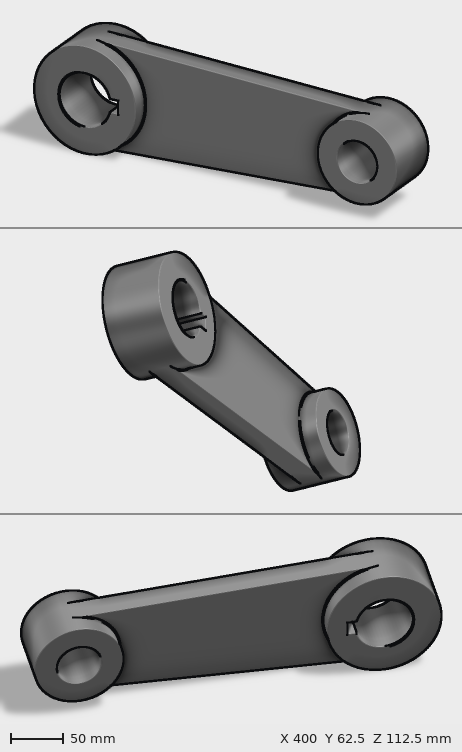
import cadquery as cq
import math

CENTER_DISTANCE = 300.0
LARGE_BOSS_DIAMETER = 112.5
SMALL_BOSS_DIAMETER = 87.5
BOSS_WIDTH = 62.5
WEB_THICKNESS = 25.0
LARGE_BORE_DIAMETER = LARGE_BOSS_DIAMETER / 2
SMALL_BORE_DIAMETER = SMALL_BOSS_DIAMETER / 2
KEYWAY_HEIGHT = 13.75
KEYWAY_REACH = 36.25
EDGE_RADIUS = 1.0

LARGE_RADIUS = LARGE_BOSS_DIAMETER / 2
SMALL_RADIUS = SMALL_BOSS_DIAMETER / 2
HALF_WEB = WEB_THICKNESS / 2


def cylinder_along_y(x, diameter):
    """Full-width cylinder with its axis along Y, centred on Y = 0."""
    return (
        cq.Workplane("XZ", origin=(x, BOSS_WIDTH / 2, 0))
        .circle(diameter / 2)
        .extrude(BOSS_WIDTH)
    )


def tapered_plate(large_radius, small_radius, thickness):
    """Plate centred on Y = 0 with edges tangent to a circle around each bore axis."""
    taper_angle = math.asin((large_radius - small_radius) / CENTER_DISTANCE)
    large_x = large_radius * math.sin(taper_angle)
    large_z = large_radius * math.cos(taper_angle)
    small_x = CENTER_DISTANCE + small_radius * math.sin(taper_angle)
    small_z = small_radius * math.cos(taper_angle)
    return (
        cq.Workplane("XZ", origin=(0, thickness / 2, 0))
        .moveTo(large_x, large_z)
        .lineTo(small_x, small_z)
        .lineTo(small_x, -small_z)
        .lineTo(large_x, -large_z)
        .close()
        .extrude(thickness)
    )


def web():
    """Web tangent to both bosses, with rounded long edges."""
    plate = tapered_plate(LARGE_RADIUS, SMALL_RADIUS, WEB_THICKNESS)
    return plate.edges("not(|Y or |Z)").fillet(EDGE_RADIUS)


def fillet_ring(x, boss_radius, side):
    """Concave ring around a boss on one web face; side is +1 or -1 along Y."""
    web_face = side * HALF_WEB
    ring_top = side * (HALF_WEB + EDGE_RADIUS)
    ring_radius = boss_radius + EDGE_RADIUS
    arc_inset = EDGE_RADIUS * (1 - math.sqrt(0.5))
    return (
        cq.Workplane("XY", origin=(x, 0, 0))
        .moveTo(0, 0)
        .lineTo(ring_radius, 0)
        .lineTo(ring_radius, web_face)
        .threePointArc((boss_radius + arc_inset, web_face + side * arc_inset), (boss_radius, ring_top))
        .lineTo(0, ring_top)
        .close()
        .revolve(360, (0, 0, 0), (0, 1, 0))
    )


def keyway():
    """Rectangular slot from the large bore axis outward, toward the small boss."""
    return cq.Workplane("XY").box(
        KEYWAY_REACH, BOSS_WIDTH, KEYWAY_HEIGHT, centered=(False, True, True)
    )


BOSSES = [
    (0.0, LARGE_BOSS_DIAMETER, LARGE_BORE_DIAMETER),
    (CENTER_DISTANCE, SMALL_BOSS_DIAMETER, SMALL_BORE_DIAMETER),
]

fillet_limit = tapered_plate(LARGE_RADIUS - EDGE_RADIUS, SMALL_RADIUS - EDGE_RADIUS, BOSS_WIDTH)

result = web()
for boss_x, boss_diameter, bore_diameter in BOSSES:
    result = result.union(cylinder_along_y(boss_x, boss_diameter))
    for side in (1, -1):
        result = result.union(fillet_ring(boss_x, boss_diameter / 2, side).intersect(fillet_limit))

for boss_x, boss_diameter, bore_diameter in BOSSES:
    result = result.cut(cylinder_along_y(boss_x, bore_diameter))
result = result.cut(keyway())

result = result.faces("<Y or >Y").edges().fillet(EDGE_RADIUS)